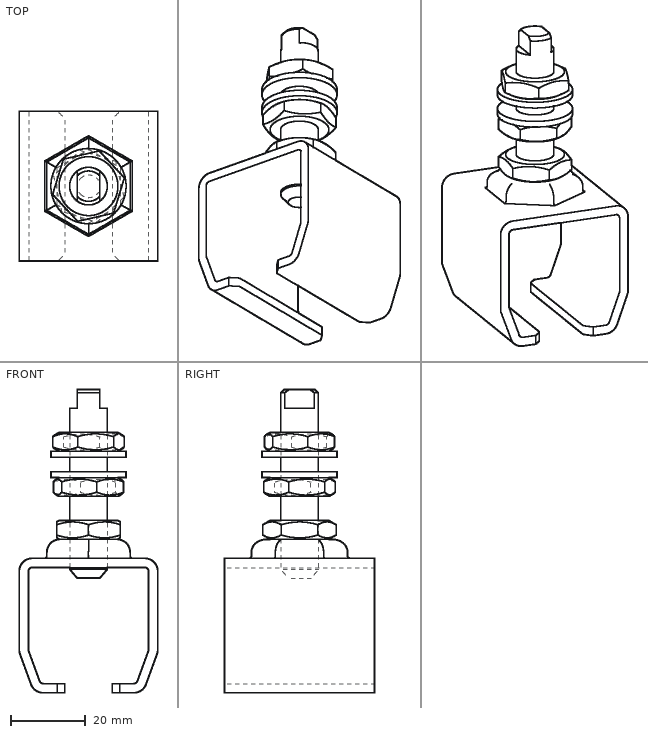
import cadquery as cq
import math

rail_width = 37.0
rail_length = 40.0
rail_height = 35.95
wall = 2.5
corner_radius = 3.6
lean_radius = 2.8
lean_angle = 20.0
lean_height = 10.9
lip_gap = 12.55
lip_chamfer = 2.0
lip_round = 0.8

total_height = 81.0
stud_diameter = 10.0
stud_chamfer = 1.0
flats_width = 6.1
flats_height = 5.0
tip_protrusion = 2.8
cone_height = 2.35
cone_end_diameter = 6.1

boot_across_flats = 22.3
boot_height = 5.0
boot_dome_radius = 3.5
boot_foot_radius = 0.5

nut_across_flats = 17.0
nut_height = 5.0
nut_face_diameter = 15.7
nut_chamfer_angle = 30.0
seat_nut_turn = 30.0
lower_nut_turn = 43.0
upper_nut_turn = 13.0

washer_diameter = 20.1
washer_thickness = 1.6

clamp_height = 16.4
clamp_gap = 3.8
seat_nut_bottom = rail_height + boot_height
lower_nut_bottom = rail_height + clamp_height
lower_washer_bottom = lower_nut_bottom + nut_height
upper_washer_bottom = lower_washer_bottom + washer_thickness + clamp_gap
upper_nut_bottom = upper_washer_bottom + washer_thickness


def cylinder(diameter, bottom, top):
    return cq.Workplane("XY").workplane(offset=bottom).circle(diameter / 2).extrude(top - bottom)


stud_bore = cylinder(stud_diameter, 0, total_height)


def make_rail():
    half_width = rail_width / 2
    foot_half_width = half_width - lean_height * math.tan(math.radians(lean_angle))
    outside = (
        cq.Workplane("XZ", origin=(0, rail_length / 2, 0))
        .polyline([
            (-foot_half_width, 0),
            (foot_half_width, 0),
            (half_width, lean_height),
            (half_width, rail_height),
            (-half_width, rail_height),
            (-half_width, lean_height),
        ])
        .close()
        .extrude(rail_length)
    )
    lean_corners = cq.selectors.BoxSelector(
        (-rail_width, -rail_length, lean_height / 2),
        (rail_width, rail_length, rail_height / 2),
    )
    outside = outside.edges(lean_corners).edges("|Y").fillet(lean_radius)
    outside = outside.edges("|Y and (<Z or >Z)").fillet(corner_radius)
    cavity = outside.faces("<Y").wires().toPending().workplane().offset2D(-wall).extrude(
        -rail_length, combine=False
    )
    lip_slot = cq.Workplane("XY").box(lip_gap, rail_length, 2 * wall)
    rail = outside.cut(cavity).cut(lip_slot)
    rail = round_lip_corners(rail)
    return rail.cut(stud_bore)


def round_lip_corners(rail):
    """Bevel the four lip corners and round the edge where each bevel meets the lip edge."""
    reach = lip_gap / 2 + wall
    around_slot = cq.selectors.BoxSelector(
        (-reach, -rail_length, -wall), (reach, rail_length, 2 * wall)
    )
    rail = rail.edges(around_slot).edges("|Z").chamfer(lip_chamfer)
    margin = lip_gap / 2 + lip_chamfer / 2
    at_lip_edge = cq.selectors.BoxSelector(
        (-margin, -rail_length, -wall), (margin, rail_length, 2 * wall)
    )
    return rail.edges(at_lip_edge).edges("|Z").fillet(lip_round)


def make_stud():
    bottom = rail_height - wall - tip_protrusion
    stud = cylinder(stud_diameter, bottom, total_height)
    stud = stud.faces(">Z").chamfer(stud_chamfer)
    cone_inset = (stud_diameter - cone_end_diameter) / 2
    stud = stud.faces("<Z").edges().chamfer(cone_height, cone_inset)
    flat_cut_width = (stud_diameter - flats_width) / 2
    for side in (-1, 1):
        flat_cut = cq.Workplane("XY").box(flat_cut_width, stud_diameter, flats_height).translate((
            side * (flats_width + flat_cut_width) / 2,
            0,
            total_height - flats_height / 2,
        ))
        stud = stud.cut(flat_cut)
    return stud


def make_boot():
    """Hexagon with domed sides and a flared foot: three equal bars crossing at 60 degrees."""
    half_flats = boot_across_flats / 2
    half_foot = half_flats + boot_foot_radius
    half_top = half_flats - boot_dome_radius
    dome_start = boot_height - boot_dome_radius
    diagonal = math.sqrt(0.5)
    dome_mid = (half_top + boot_dome_radius * diagonal, dome_start + boot_dome_radius * diagonal)
    foot_mid = (half_foot - boot_foot_radius * diagonal, boot_foot_radius * (1 - diagonal))
    bar = (
        cq.Workplane("XZ", origin=(0, 0, rail_height))
        .moveTo(-half_foot, 0)
        .lineTo(half_foot, 0)
        .threePointArc(foot_mid, (half_flats, boot_foot_radius))
        .lineTo(half_flats, dome_start)
        .threePointArc(dome_mid, (half_top, boot_height))
        .lineTo(-half_top, boot_height)
        .threePointArc((-dome_mid[0], dome_mid[1]), (-half_flats, dome_start))
        .lineTo(-half_flats, boot_foot_radius)
        .threePointArc((-foot_mid[0], foot_mid[1]), (-half_foot, 0))
        .close()
        .extrude(boot_across_flats, both=True)
    )
    boot = bar
    for turn in (60, 120):
        boot = boot.intersect(bar.rotate((0, 0, 0), (0, 0, 1), turn))
    return boot.cut(stud_bore)


def make_nut(bottom, turn):
    """Hexagonal nut with conical chamfers on both faces; turn 0 puts a corner on +X."""
    across_corners = nut_across_flats / math.cos(math.pi / 6)
    chamfer_inset = (across_corners - nut_face_diameter) / 2
    chamfer_height = chamfer_inset * math.tan(math.radians(nut_chamfer_angle))
    nut = cq.Workplane("XY").polygon(6, across_corners).extrude(nut_height)
    turned_blank = (
        cylinder(across_corners, 0, nut_height)
        .faces("<Z or >Z")
        .edges()
        .chamfer(chamfer_height, chamfer_inset)
    )
    nut = nut.intersect(turned_blank)
    nut = nut.rotate((0, 0, 0), (0, 0, 1), turn).translate((0, 0, bottom))
    return nut.cut(stud_bore)


def make_washer(bottom):
    return cylinder(washer_diameter, bottom, bottom + washer_thickness).cut(stud_bore)


rail = make_rail()
stud = make_stud()
boot = make_boot()
nuts = [
    make_nut(bottom, turn)
    for bottom, turn in [
        (seat_nut_bottom, seat_nut_turn),
        (lower_nut_bottom, lower_nut_turn),
        (upper_nut_bottom, upper_nut_turn),
    ]
]
washers = [make_washer(bottom) for bottom in (lower_washer_bottom, upper_washer_bottom)]

result = cq.Compound.makeCompound([
    rail.val(),
    stud.val(),
    boot.val(),
    *[nut.val() for nut in nuts],
    *[washer.val() for washer in washers],
])